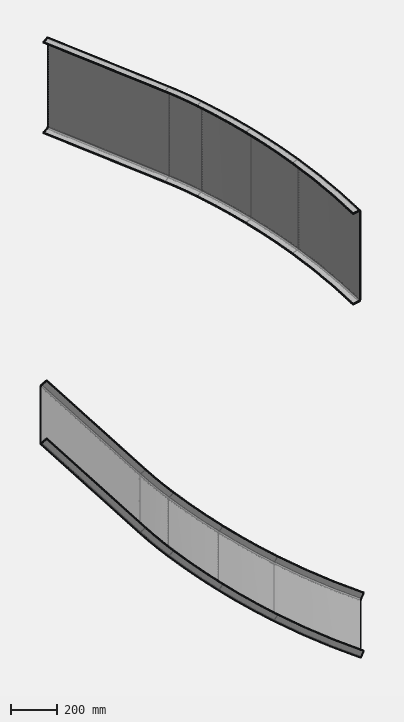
import cadquery as cq
import math

channel_height = 540.0
flange_depth = 40.0
sheet_thickness = 5.0
inner_bend_radius = 5.0
outer_bend_radius = inner_bend_radius + sheet_thickness

overall_length = 1710.0
straight_length = 605.0
first_arc_radius = 1795.0
first_arc_end_angle = 5.4
main_arc_end_angles = [10.6, 16.0, 24.0]


def sine(angle):
    return math.sin(math.radians(angle))


def cosine(angle):
    return math.cos(math.radians(angle))


def add_arc(path, start, radius, start_angle, end_angle):
    """Add a clockwise arc to the path and return the new path and end point."""

    def point_at(angle):
        x = start[0] + radius * (sine(angle) - sine(start_angle))
        y = start[1] + radius * (cosine(angle) - cosine(start_angle))
        return (x, y)

    end = point_at(end_angle)
    middle = point_at((start_angle + end_angle) / 2)
    return path.threePointArc(middle, end), end


def back_face_path():
    """Path along the web's back face: a straight run, then tangent arcs."""
    start = (straight_length, 0.0)
    path = cq.Workplane("XY").lineTo(*start)
    path, start = add_arc(path, start, first_arc_radius, 0.0, first_arc_end_angle)

    main_sine_change = sine(main_arc_end_angles[-1]) - sine(first_arc_end_angle)
    main_arc_radius = (overall_length - start[0]) / main_sine_change
    start_angle = first_arc_end_angle
    for end_angle in main_arc_end_angles:
        path, start = add_arc(path, start, main_arc_radius, start_angle, end_angle)
        start_angle = end_angle
    return path


def channel_section():
    """Cross-section of the channel with rounded sheet bends, in the YZ plane."""
    half_height = channel_height / 2
    inner_half_height = half_height - sheet_thickness
    bend_start = half_height - outer_bend_radius
    return (
        cq.Workplane("YZ")
        .moveTo(-flange_depth, half_height)
        .lineTo(-outer_bend_radius, half_height)
        .radiusArc((0, bend_start), outer_bend_radius)
        .lineTo(0, -bend_start)
        .radiusArc((-outer_bend_radius, -half_height), outer_bend_radius)
        .lineTo(-flange_depth, -half_height)
        .lineTo(-flange_depth, -inner_half_height)
        .lineTo(-outer_bend_radius, -inner_half_height)
        .radiusArc((-sheet_thickness, -bend_start), -inner_bend_radius)
        .lineTo(-sheet_thickness, bend_start)
        .radiusArc((-outer_bend_radius, inner_half_height), -inner_bend_radius)
        .lineTo(-flange_depth, inner_half_height)
        .close()
    )


result = channel_section().sweep(back_face_path(), clean=False)